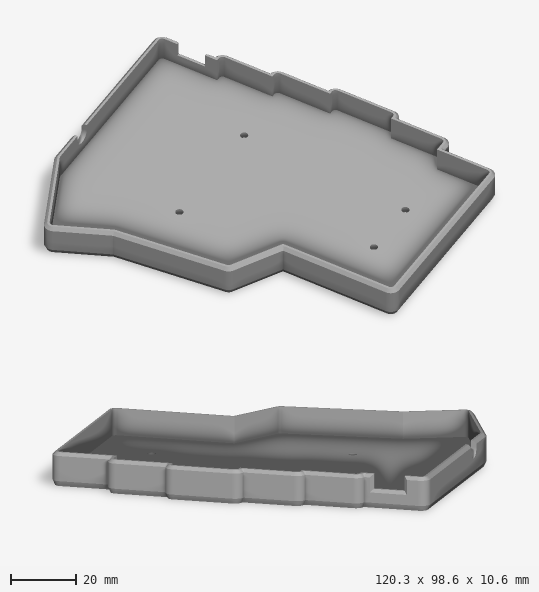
import cadquery as cq
import math

KEY_PITCH = 19.05
COLUMN_STAGGER = 2.365
ROWS_HEIGHT = 3 * KEY_PITCH
FIRST_STEP_SHIFT = 0.9
COLUMN_STAGGERS = (0, 1, 2, 3, 2, 0)

THUMB_ANGLE = 24.1
THUMB_KEY_LENGTH = 1.5 * KEY_PITCH
THUMB_START_Y = -2.295
THUMB_RIGHT_CORNER = (66.7, -16.7)
THUMB_RETURN_X = 4 * KEY_PITCH

HEIGHT = 10.6
FLOOR = 2.2
OUTER_MARGIN = 3.0
WALL = 1.75
INNER_MARGIN = OUTER_MARGIN - WALL
RIM_CHAMFER = 1.0
RIM_TAPER = 45
BASE_CHAMFER_WIDTH = 0.8
BASE_CHAMFER_HEIGHT = 1.7

SCREW_DIAMETER = 2.5
SCREW_CENTRES = ((38.1, 41.6), (97.2, 38.1), (97.2, 19.05), (38.1, 2.4))

CABLE_NOTCH_Y = 10.8
CABLE_NOTCH_WIDTH = 5.5
CABLE_NOTCH_DEPTH = 5.0

PORT_X = 9.5
PORT_WIDTH = 9.8
PORT_DEPTH = 4.7

CUT_CLEARANCE = 1.0


def key_outline():
    """Sharp-cornered outline of the key field, clockwise from the left thumb corner."""
    points = [(0, THUMB_START_Y)]
    column_edges = [column * KEY_PITCH for column in range(len(COLUMN_STAGGERS) + 1)]
    column_edges[1] += FIRST_STEP_SHIFT
    for column, steps in enumerate(COLUMN_STAGGERS):
        top = ROWS_HEIGHT + steps * COLUMN_STAGGER
        points.append((column_edges[column], top))
        points.append((column_edges[column + 1], top))

    tilt = math.radians(THUMB_ANGLE)
    tip_x = THUMB_KEY_LENGTH * math.sin(tilt)
    tip_y = THUMB_START_Y - THUMB_KEY_LENGTH * math.cos(tilt)
    inner_x = tip_x + KEY_PITCH * math.cos(tilt)
    inner_y = tip_y + KEY_PITCH * math.sin(tilt)
    points += [
        (column_edges[-1], 0),
        (THUMB_RETURN_X, 0),
        THUMB_RIGHT_CORNER,
        (inner_x, inner_y),
        (tip_x, tip_y),
    ]
    return points


def grown_outline(margin, z):
    """Closed wire at height z: the key outline grown by a margin, outer corners rounded."""
    return cq.Workplane("XY", origin=(0, 0, z)).polyline(key_outline()).close().offset2D(margin, "arc")


def tray():
    rim_z = HEIGHT - RIM_CHAMFER
    base_taper = math.degrees(math.atan(BASE_CHAMFER_WIDTH / BASE_CHAMFER_HEIGHT))
    base_top = grown_outline(OUTER_MARGIN, BASE_CHAMFER_HEIGHT)
    base = base_top.extrude(-BASE_CHAMFER_HEIGHT, taper=base_taper)
    sides = grown_outline(OUTER_MARGIN, BASE_CHAMFER_HEIGHT).extrude(rim_z - BASE_CHAMFER_HEIGHT)
    rim = grown_outline(OUTER_MARGIN, rim_z).extrude(RIM_CHAMFER, taper=RIM_TAPER)
    cavity = grown_outline(INNER_MARGIN, FLOOR).extrude(HEIGHT + CUT_CLEARANCE - FLOOR)
    return base.union(sides).union(rim).cut(cavity)


def screw_holes():
    holes = cq.Workplane("XY").pushPoints(SCREW_CENTRES).circle(SCREW_DIAMETER / 2)
    return holes.extrude(FLOOR + CUT_CLEARANCE)


def cable_notch():
    """Slot open at the rim, ending in a half circle below."""
    radius = CABLE_NOTCH_WIDTH / 2
    centre_z = HEIGHT - CABLE_NOTCH_DEPTH + radius
    profile = (
        cq.Workplane("YZ", origin=(-OUTER_MARGIN - CUT_CLEARANCE, CABLE_NOTCH_Y, 0))
        .moveTo(-radius, HEIGHT + CUT_CLEARANCE)
        .lineTo(-radius, centre_z)
        .threePointArc((0, centre_z - radius), (radius, centre_z))
        .lineTo(radius, HEIGHT + CUT_CLEARANCE)
        .close()
    )
    return profile.extrude(WALL + 2 * CUT_CLEARANCE)


def port_notch():
    """Rectangular slot open at the rim, its outer edges chamfered like the rim."""
    outer_y = ROWS_HEIGHT + OUTER_MARGIN
    mouth_y = outer_y - RIM_CHAMFER
    slot_length = WALL + CUT_CLEARANCE
    slot_height = PORT_DEPTH + 2 * CUT_CLEARANCE
    slot_z = HEIGHT - PORT_DEPTH + slot_height / 2
    slot = cq.Workplane("XY", origin=(PORT_X, outer_y - slot_length / 2, slot_z))
    slot = slot.box(PORT_WIDTH, slot_length, slot_height)
    flare = (
        cq.Workplane("XZ", origin=(PORT_X, mouth_y, slot_z))
        .rect(PORT_WIDTH, slot_height)
        .workplane(offset=-RIM_CHAMFER)
        .rect(PORT_WIDTH + 2 * RIM_CHAMFER, slot_height + 2 * RIM_CHAMFER)
        .loft()
    )
    return slot.union(flare)


result = tray().cut(screw_holes()).cut(cable_notch()).cut(port_notch())